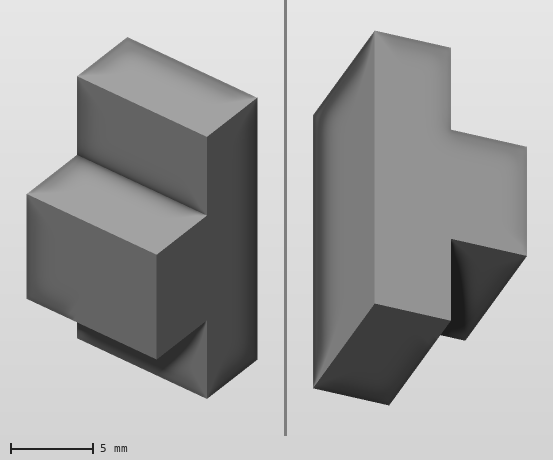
import cadquery as cq

height = 20.0
width = 10.0
plate_depth = 5.0
rib_depth = 5.0
rib_height = 8.0

plate = cq.Workplane("XY").box(width, plate_depth, height).translate((0, plate_depth / 2, 0))

rib = cq.Workplane("XY").box(width, rib_depth, rib_height).translate((0, -rib_depth / 2, 0))

result = plate.union(rib)